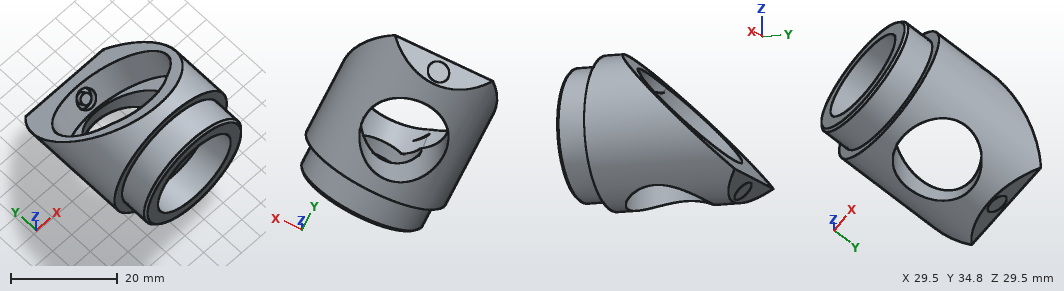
import cadquery as cq
import math

length = 34.8
body_diameter = 29.48
body_radius = body_diameter / 2
spigot_diameter = 25.5
spigot_length = 6.35
spigot_chamfer = 0.5

slant_start_y = 9.45
tip_z = body_radius - (length - slant_start_y)
tail_end_y = length - (tip_z + body_radius)

counterbore_diameter = 19.07
counterbore_depth = 6.12
entry_bore_diameter = 12.7
entry_bore_z = 2.02

exit_bore_diameter = 16.67
exit_bore_y = 18.03
exit_bore_top_z = 8.7

pocket_diameter = 25.58
pocket_depth = 6.02
pocket_y = slant_start_y + body_radius - entry_bore_z

relief_diameter = 19.07
relief_shift = 4.28

screw_diameter = 4.25
dog_diameter = 2.35
dog_length = 1.5
shoulder_length = 0.25
tip_projection = 0.05
screw_depth = 3.13

tip_to_pocket_wall = (length - pocket_y) * math.sqrt(2) - pocket_diameter / 2
screw_length = tip_to_pocket_wall + tip_projection

screw_offset = screw_depth / math.sqrt(2)
screw_origin = (0, length - screw_offset, tip_z - screw_offset)


def slant_plane():
    """Plane on the 45-degree face at the pocket centre; local Y runs up the face away from the tip."""
    return cq.Plane(origin=(0, pocket_y, entry_bore_z), xDir=(-1, 0, 0), normal=(0, 1, 1))


def bore_along_y(diameter, start, end, z=0.0):
    plane = cq.Plane(origin=(0, start, z), xDir=(1, 0, 0), normal=(0, 1, 0))
    return cq.Workplane(plane).circle(diameter / 2).extrude(end - start)


def make_wedge():
    """Round body trimmed by the 45-degree face and the tail face."""
    side_outline = [
        (spigot_length, -body_radius),
        (spigot_length, body_radius),
        (slant_start_y, body_radius),
        (length, tip_z),
        (tail_end_y, -body_radius),
    ]
    side = cq.Workplane("YZ").polyline(side_outline).close().extrude(body_radius, both=True)
    return bore_along_y(body_diameter, spigot_length, length).intersect(side)


def make_housing():
    spigot = bore_along_y(spigot_diameter, 0, spigot_length).faces("<Y").chamfer(spigot_chamfer)
    housing = make_wedge().union(spigot)

    housing = housing.cut(bore_along_y(counterbore_diameter, 0, counterbore_depth))
    housing = housing.cut(bore_along_y(entry_bore_diameter, 0, pocket_y, entry_bore_z))

    exit_bore = (
        cq.Workplane("XY", origin=(0, exit_bore_y, -body_radius))
        .circle(exit_bore_diameter / 2)
        .extrude(body_radius + exit_bore_top_z)
    )
    housing = housing.cut(exit_bore)

    slant_face = cq.Workplane(slant_plane())
    housing = housing.cut(slant_face.circle(pocket_diameter / 2).extrude(-pocket_depth))
    relief = slant_face.center(0, relief_shift).circle(relief_diameter / 2).extrude(-pocket_depth)
    housing = housing.cut(relief)

    hole_plane = cq.Plane(origin=screw_origin, xDir=(1, 0, 0), normal=(0, -1, 1))
    screw_hole = cq.Workplane(hole_plane).circle(screw_diameter / 2).extrude(2 * screw_length)
    return housing.cut(screw_hole)


def make_set_screw():
    """Plain shank, a conical shoulder and a flat-ended dog point, turned about the screw axis."""
    dog_base = screw_length - dog_length
    half_section = [
        (0, 0),
        (screw_diameter / 2, 0),
        (screw_diameter / 2, dog_base - shoulder_length),
        (dog_diameter / 2, dog_base),
        (dog_diameter / 2, screw_length),
        (0, screw_length),
    ]
    axis_plane = cq.Plane(origin=screw_origin, xDir=(1, 0, 0), normal=(0, -1, -1))
    return cq.Workplane(axis_plane).polyline(half_section).close().revolve(360, (0, 0), (0, 1))


housing = make_housing()
set_screw = make_set_screw()
result = cq.Compound.makeCompound([housing.val(), set_screw.val()])